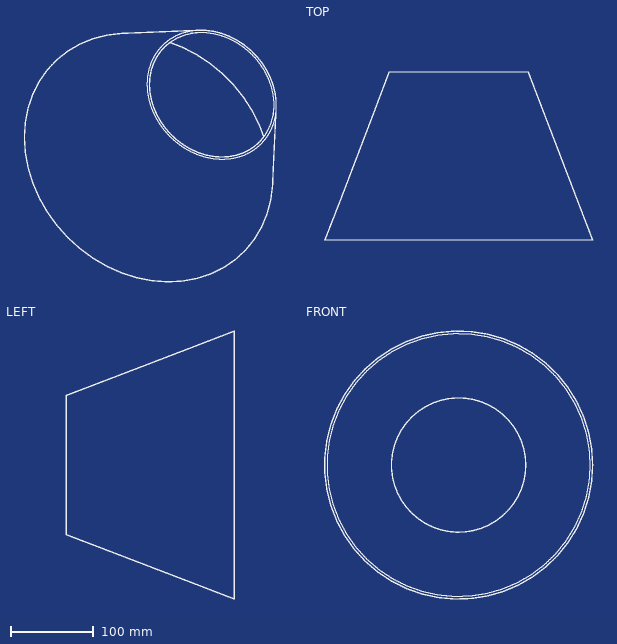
import math

import cadquery as cq

large_diameter = 323.9
small_diameter = 168.3
length = 203.0
wall = 3.0

large_radius = large_diameter / 2
small_radius = small_diameter / 2
half_angle = math.atan((large_radius - small_radius) / length)
radial_wall = wall / math.cos(half_angle)


def conical_shell():
    """Revolve the sloping wall section around the Y axis."""
    section = (
        cq.Workplane("XY")
        .moveTo(large_radius - radial_wall, 0)
        .lineTo(large_radius, 0)
        .lineTo(small_radius, length)
        .lineTo(small_radius - radial_wall, length)
        .close()
    )
    return section.revolve(360, (0, 0, 0), (0, 1, 0))


result = conical_shell()